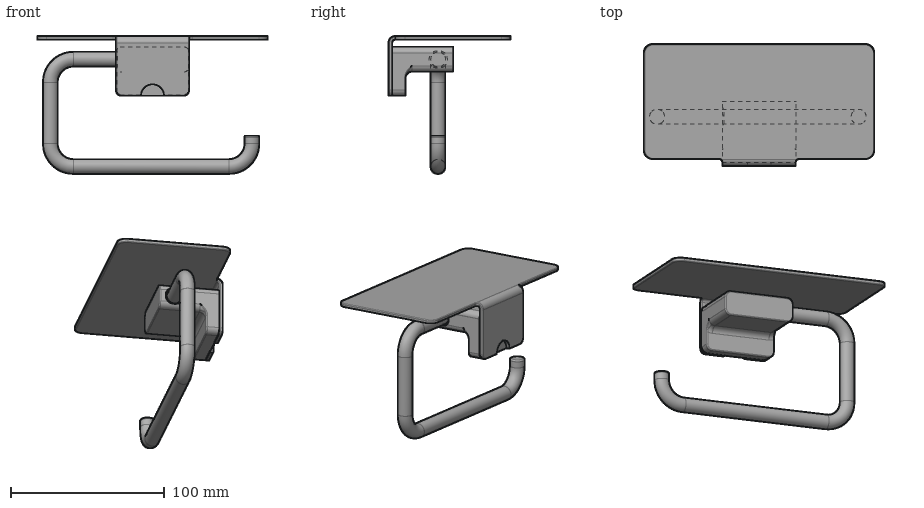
import cadquery as cq


sheet = 2.5
tray_length = 150
total_depth = 79.5
bend_radius = 4.5
tray_corner_radius = 6
sheet_edge_radius = 0.6
neck_relief_radius = 2.0
plate_width = 48
plate_height = 39
plate_corner_radius = 4.0

notch_radius = 7.5

arm_reach = 42.3
arm_height = 16.4
leg_reach = 11.2
inner_bend_radius = 4.0
back_edge_radius = 0.8

bar_diameter = 9.8
bar_bend_radius = 15
bar_lowest = -89.8
bar_y = 32.2
bar_z = -15.2
bar_left = -66.5
bar_right = 64.6
bar_tip = -64.8
tip_radius = 1.0
socket_chamfer = 1.0

pick_margin = 0.2

bar_radius = bar_diameter / 2
arm_top = bar_z + arm_height / 2
arm_bottom = bar_z - arm_height / 2
half_plate = plate_width / 2


def rounded_block(top, bottom, reach):
    """Block as wide as the face plate, running back from behind it, with rounded long edges."""
    return (
        cq.Workplane("XY")
        .box(plate_width, reach - sheet, top - bottom, centered=(True, False, False))
        .translate((0, sheet, bottom))
        .edges("|Y")
        .fillet(plate_corner_radius)
    )


def is_seam(edge):
    """Tell whether an edge is one of the lines along the fold and the joins across the sheet thickness."""
    middle = edge.Center()
    on_fold = abs(middle.x) < pick_margin and middle.y < 2 * bend_radius and middle.z > -2 * bend_radius
    across_thickness = edge.geomType() == "LINE" and edge.Length() < bend_radius
    return on_fold or across_thickness


def make_sheet():
    """Tray and face plate folded from one sheet, with every rim edge rounded."""
    bent = (
        cq.Workplane("YZ")
        .moveTo(total_depth, 0)
        .lineTo(bend_radius, 0)
        .radiusArc((0, -bend_radius), -bend_radius)
        .lineTo(0, -plate_height)
        .lineTo(sheet, -plate_height)
        .lineTo(sheet, -bend_radius)
        .radiusArc((bend_radius, -sheet), bend_radius - sheet)
        .lineTo(total_depth, -sheet)
        .close()
        .extrude(tray_length / 2, both=True)
    )
    tray_plan = (
        cq.Workplane("XY")
        .box(tray_length, total_depth - bend_radius, plate_height, centered=(True, False, False))
        .translate((0, bend_radius, -plate_height))
        .edges("|Z")
        .fillet(tray_corner_radius)
    )
    plate_plan = (
        cq.Workplane("XY")
        .box(plate_width, 2 * bend_radius, plate_height, centered=(True, False, False))
        .translate((0, 0, -plate_height))
    )
    neck = cq.selectors.BoxSelector(
        (-half_plate - pick_margin, bend_radius - pick_margin, -plate_height),
        (half_plate + pick_margin, bend_radius + pick_margin, 0),
    )
    plan = tray_plan.union(plate_plan).edges("|Z").edges(neck).fillet(neck_relief_radius)
    folded = bent.intersect(plan).faces("<Z").edges("|Y").fillet(plate_corner_radius)
    rim = folded.edges().filter(lambda edge: not is_seam(edge))
    return rim.fillet(sheet_edge_radius)


def cut_thumb_notch(body):
    """Half-round notch through the sheet at the middle of the bottom edge of the face plate."""
    notch = (
        cq.Workplane("XZ", origin=(0, sheet, -plate_height))
        .circle(notch_radius)
        .extrude(sheet)
    )
    return body.cut(notch)


def make_block():
    """L-shaped block: arm reaching back, leg hanging down behind the face plate."""
    arm = rounded_block(arm_top, arm_bottom, arm_reach)
    leg = rounded_block(arm_top, -plate_height, leg_reach)
    block = arm.union(leg)
    inner_corner = cq.selectors.BoxSelector(
        (-pick_margin, leg_reach - pick_margin, arm_bottom - pick_margin),
        (pick_margin, leg_reach + pick_margin, arm_bottom + pick_margin),
    )
    block = block.edges(inner_corner).fillet(inner_bend_radius)
    leg_back_sides = cq.selectors.BoxSelector(
        (-half_plate - pick_margin, leg_reach - pick_margin, -plate_height),
        (half_plate + pick_margin, leg_reach + pick_margin, arm_bottom),
    )
    block = block.edges("|Z").edges(leg_back_sides).fillet(back_edge_radius)
    return block.faces(">Y").edges().fillet(back_edge_radius)


def cut_socket(block):
    """Countersunk rim around the bar where it enters the left side of the block."""
    countersink = cq.Solid.makeCone(
        bar_radius + socket_chamfer,
        bar_radius,
        socket_chamfer,
        cq.Vector(-half_plate, bar_y, bar_z),
        cq.Vector(1, 0, 0),
    )
    return block.cut(cq.Workplane(countersink))


def make_bar():
    """Round bar: out of the block to the left, down, along the bottom and up to a rounded tip."""
    axis_bottom = bar_lowest + bar_radius
    bend = bar_bend_radius
    path = (
        cq.Workplane("XZ", origin=(0, bar_y, 0))
        .moveTo(0, bar_z)
        .lineTo(bar_left + bend, bar_z)
        .radiusArc((bar_left, bar_z - bend), -bend)
        .lineTo(bar_left, axis_bottom + bend)
        .radiusArc((bar_left + bend, axis_bottom), -bend)
        .lineTo(bar_right - bend, axis_bottom)
        .radiusArc((bar_right, axis_bottom + bend), -bend)
        .lineTo(bar_right, bar_tip)
    )
    bar = cq.Workplane("YZ", origin=(0, bar_y, bar_z)).circle(bar_radius).sweep(path)
    tip = cq.selectors.BoxSelector(
        (bar_right - pick_margin, bar_y - pick_margin, bar_tip - pick_margin),
        (bar_right + pick_margin, bar_y + pick_margin, bar_tip + pick_margin),
    )
    return bar.edges(tip).fillet(tip_radius)


folded_sheet = cut_thumb_notch(make_sheet())
block = cut_socket(make_block())
result = folded_sheet.union(block).union(make_bar())